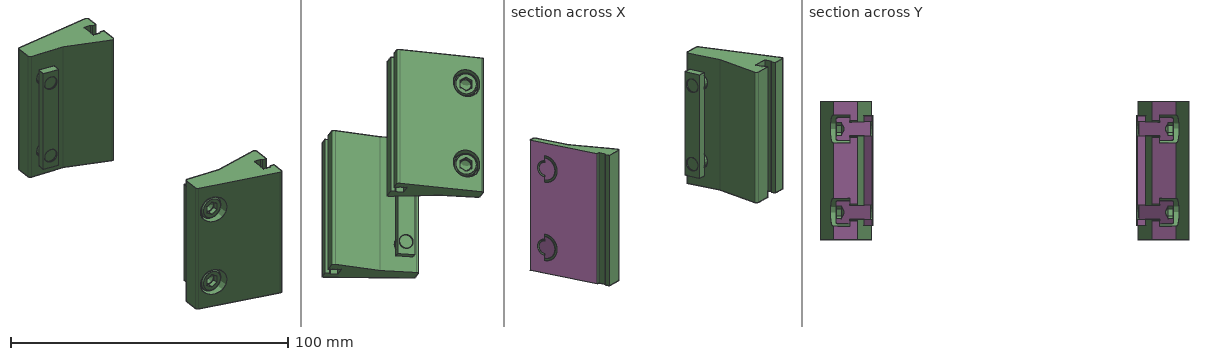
import cadquery as cq
import math

OVERALL_LENGTH = 133.0
BLOCK_DEPTH = 33.1
BLOCK_HEIGHT = 50.0

OUTER_ANGLE = 10.0
INNER_ANGLE = 16.0
CORNER_RADIUS = 0.9
NECK_FACE_X = 13.4
NECK_TOP_Y = -18.7

SLOT_X = 8.5
SLOT_MOUTH_WIDTH = 5.2
SLOT_WIDTH = 6.4
SLOT_LIP = 1.6
SLOT_SHOULDER = 2.1
SLOT_DEPTH = 4.8

AXIS_TILT = 3.0
HEAD_FACE_X = 5.6
HEAD_FACE_Y = -26.6
SCREW_SPACING = 30.0
SHANK_DIAMETER = 5.0
SCREW_LENGTH = 12.5
HEAD_DIAMETER = 8.5
HEAD_LENGTH = 5.0
HEAD_CHAMFER = 0.5
SOCKET_WIDTH = 4.4
SOCKET_DEPTH = 2.0
SOCKET_TIP_DIAMETER = 4.1
SOCKET_TIP_LENGTH = 1.2
CLEARANCE_DIAMETER = 6.0
COUNTERBORE_DIAMETER = 10.0

STRIP_START = 10.0
STRIP_THICKNESS = 3.2
STRIP_WIDTH = 6.4
STRIP_LENGTH = 39.6

SCREW_HEIGHTS = (-SCREW_SPACING / 2, SCREW_SPACING / 2)


def rod(diameter, start, end):
    """Cylinder along the X axis."""
    return cq.Workplane("YZ", origin=(start, 0, 0)).circle(diameter / 2).extrude(end - start)


def place_on_axis(body, z):
    """Move a body built along the X axis onto the tilted screw axis at height z."""
    tilted = body.rotate((0, 0, 0), (0, 0, 1), -AXIS_TILT)
    return tilted.translate((HEAD_FACE_X, HEAD_FACE_Y, z))


def make_tapered_body():
    """Tapered prism with its four outer corners rounded."""
    outer_slope = math.tan(math.radians(OUTER_ANGLE))
    inner_slope = math.tan(math.radians(INNER_ANGLE))
    sharp_corner_angle = math.radians(90 - OUTER_ANGLE)
    outer_top_x = CORNER_RADIUS * (1 - 1 / math.tan(sharp_corner_angle / 2))
    outer_bottom_x = outer_top_x + BLOCK_DEPTH * outer_slope
    inner_top_x = NECK_FACE_X - NECK_TOP_Y * inner_slope
    block = (
        cq.Workplane("XY", origin=(0, 0, -BLOCK_HEIGHT / 2))
        .polyline([
            (outer_top_x, 0),
            (inner_top_x, 0),
            (NECK_FACE_X, NECK_TOP_Y),
            (NECK_FACE_X, -BLOCK_DEPTH),
            (outer_bottom_x, -BLOCK_DEPTH),
        ])
        .close()
        .extrude(BLOCK_HEIGHT)
    )
    return block.faces(">Y or <Y").edges("|Z").fillet(CORNER_RADIUS)


def make_slot():
    """T-slot volume with sloped shoulders behind its lips."""
    mouth_half = SLOT_MOUTH_WIDTH / 2
    slot_half = SLOT_WIDTH / 2
    return (
        cq.Workplane("XY", origin=(SLOT_X, 0, -BLOCK_HEIGHT / 2))
        .polyline([
            (-mouth_half, 0),
            (-mouth_half, -SLOT_LIP),
            (-slot_half, -SLOT_SHOULDER),
            (-slot_half, -SLOT_DEPTH),
            (slot_half, -SLOT_DEPTH),
            (slot_half, -SLOT_SHOULDER),
            (mouth_half, -SLOT_LIP),
            (mouth_half, 0),
        ])
        .close()
        .extrude(BLOCK_HEIGHT)
    )


def make_screw_hole():
    """Counterbore and clearance hole volume along the X axis."""
    counterbore = rod(COUNTERBORE_DIAMETER, -HEAD_FACE_X, HEAD_LENGTH)
    clearance_hole = rod(CLEARANCE_DIAMETER, HEAD_LENGTH, NECK_FACE_X)
    return counterbore.union(clearance_hole)


def make_block():
    """Tapered block with a T-slot and two counterbored screw holes."""
    block = make_tapered_body().cut(make_slot())
    screw_hole = make_screw_hole()
    for z in SCREW_HEIGHTS:
        block = block.cut(place_on_axis(screw_hole, z))
    return block


def make_strip():
    """Flat bar with two through holes for the screw shanks."""
    strip_end = STRIP_START + STRIP_THICKNESS
    strip = (
        cq.Workplane("YZ", origin=(STRIP_START, 0, 0))
        .rect(STRIP_WIDTH, STRIP_LENGTH)
        .extrude(STRIP_THICKNESS)
    )
    strip = place_on_axis(strip, 0)
    shank_hole = rod(SHANK_DIAMETER, STRIP_START, strip_end)
    for z in SCREW_HEIGHTS:
        strip = strip.cut(place_on_axis(shank_hole, z))
    return strip


def make_screw(z):
    """Cap screw with a chamfered head and a cone-bottomed hexagon socket."""
    head = rod(HEAD_DIAMETER, 0, HEAD_LENGTH).faces("<X").chamfer(HEAD_CHAMFER)
    shank = rod(SHANK_DIAMETER, HEAD_LENGTH, SCREW_LENGTH)
    hexagon = (
        cq.Workplane("YZ")
        .polygon(6, SOCKET_WIDTH, circumscribed=True)
        .extrude(SOCKET_DEPTH)
    )
    tip = cq.Workplane(
        cq.Solid.makeCone(
            SOCKET_TIP_DIAMETER / 2,
            0,
            SOCKET_TIP_LENGTH,
            pnt=cq.Vector(SOCKET_DEPTH, 0, 0),
            dir=cq.Vector(1, 0, 0),
        )
    )
    screw = head.union(shank).cut(hexagon).cut(tip)
    return place_on_axis(screw, z)


clamp_bodies = [make_block(), make_strip()]
for screw_z in SCREW_HEIGHTS:
    clamp_bodies.append(make_screw(screw_z))

solids = []
for body in clamp_bodies:
    left_body = body.translate((-OVERALL_LENGTH / 2, 0, 0))
    solids.append(left_body.solids().val())
    solids.append(left_body.mirror("YZ").solids().val())

result = cq.Compound.makeCompound(solids)